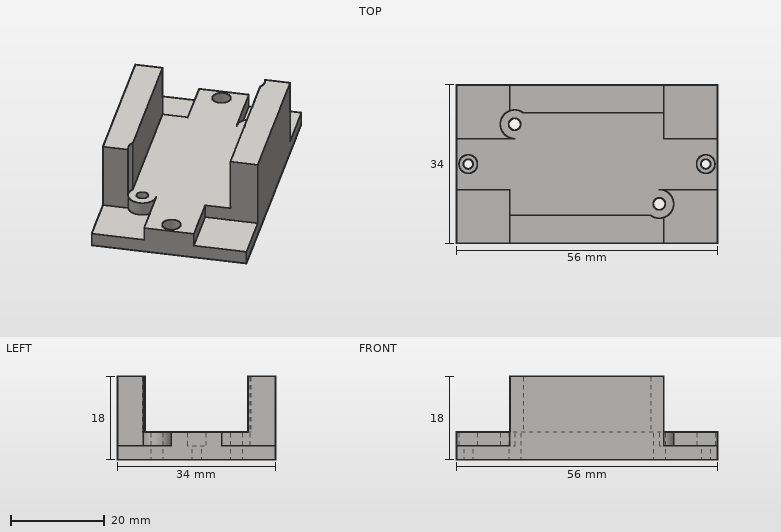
import cadquery as cq

length = 56.0
width = 34.0
height = 18.0

plate_thickness = 3.0
deck_height = 2 * plate_thickness
wall_length = 33.05
channel_width = 22.0
tongue_width = 10.9

boss_diameter = 6.15
boss_hole_diameter = 2.5
boss_x = 15.5
boss_y = (tongue_width + boss_diameter) / 2

mount_x = 25.5
mount_hole_diameter = 2.0
counterbore_diameter = 4.0
counterbore_depth = 3.0

boss_centers = [(-boss_x, boss_y), (boss_x, -boss_y)]
mount_centers = [(-mount_x, 0), (mount_x, 0)]


def block(size_x, size_y, size_z):
    """Box centred in X and Y, standing on Z = 0."""
    return cq.Workplane("XY").box(size_x, size_y, size_z, centered=(True, True, False))


def cylinders(centers, diameter, bottom, top):
    """Upright cylinders between two heights."""
    plane = cq.Workplane("XY").workplane(offset=bottom)
    return plane.pushPoints(centers).circle(diameter / 2).extrude(top - bottom)


body = block(length, width, plate_thickness)
body = body.union(block(length, tongue_width, deck_height))
body = body.union(block(wall_length, width, height))

channel = block(wall_length, channel_width, height).translate((0, 0, deck_height))
body = body.cut(channel)
body = body.cut(cylinders(boss_centers, boss_diameter, deck_height, height))

notch_length = wall_length / 2 - boss_x
notch_x = (boss_x + wall_length / 2) / 2
notch_y = (tongue_width / 2 + boss_y) / 2
notch = block(notch_length, boss_diameter / 2, deck_height - plate_thickness)
for side in (-1, 1):
    body = body.cut(notch.translate((side * notch_x, -side * notch_y, plate_thickness)))

body = body.union(cylinders(boss_centers, boss_diameter, 0, deck_height))
body = body.cut(cylinders(boss_centers, boss_hole_diameter, 0, deck_height))

body = body.cut(cylinders(mount_centers, mount_hole_diameter, 0, deck_height))
counterbore_floor = deck_height - counterbore_depth
result = body.cut(cylinders(mount_centers, counterbore_diameter, counterbore_floor, deck_height))